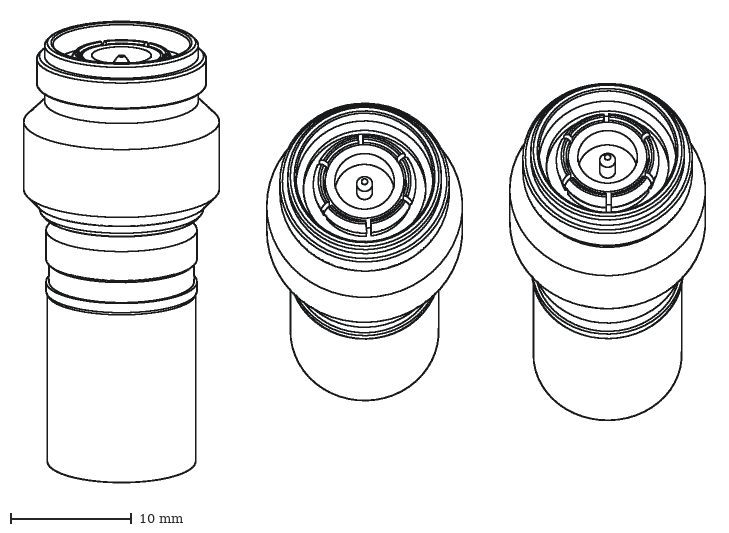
import cadquery as cq

TOTAL_HEIGHT = 36.15
NUT_RADIUS = 8.1

SLEEVE_RADIUS = 6.15
BODY_RADIUS = 6.25
GROOVE_RADIUS = 6.0
BAND_CHAMFER_START = 14.5
BAND_BOTTOM = 14.7
BAND_TOP = 15.5
GROOVE_RELIEF_BOTTOM = 17.25
GROOVE_TOP = 17.45
GROOVE_RELIEF_RADIUS = 6.07
BODY_TOP = 20.0
NECK_RADIUS = 5.05

NUT_BOTTOM = 21.25
NUT_RIM_TOP = 21.35
NOSE_EDGE = 21.73
SHOULDER_EDGE = 21.85
SHOULDER_TOP = 22.4
NUT_CYLINDER_BOTTOM = 23.5
NUT_CYLINDER_TOP = 29.35
NUT_BOTTOM_RADIUS = 6.2
NUT_RIM_RADIUS = 6.45
NOSE_EDGE_RADIUS = 6.75
SHOULDER_EDGE_RADIUS = 6.8
SHOULDER_TOP_RADIUS = 6.9
NUT_CONE_RADIUS = 7.1
COLLAR_RADIUS = 6.35
COLLAR_BOTTOM = 31.1
RING_RADIUS = 7.0
RING_BOTTOM = 32.5
RING_TOP = 35.0
RING_BOTTOM_CHAMFER = 0.1
RING_TOP_CHAMFER = 0.2
LIP_CHAMFER = 0.2

BORE_RADIUS = 5.68
BORE_CHAMFER = 0.15
BORE_CONE_TOP = 34.2
BORE_CONE_BOTTOM = 33.62
CAVITY_RADIUS = 5.05
CAVITY_FLOOR = 32.7

CONTACT_TOP = 35.25
CONTACT_INNER_RADIUS = 3.45
CONTACT_CHAMFER_WIDTH = 0.2
CONTACT_CHAMFER_HEIGHT = 0.18
CONTACT_TOP_RADIUS = 3.83
CONTACT_BULGE_RADIUS = 4.23
CONTACT_BULGE_Z = 34.52
CONTACT_ROOT_RADIUS = 3.98
CONTACT_ROOT_Z = 33.62
SLOT_WIDTH = 0.4
SLOT_LINES = 3

INSULATOR_RADIUS = 3.25
INSULATOR_BORE_RADIUS = 2.45
INSULATOR_TOP = 35.05
INSULATOR_FLOOR = 32.55
PIN_RADIUS = 0.65
PIN_TIP_RADIUS = 0.25
PIN_SHOULDER = 34.45
PIN_TOP = 35.0
PIN_CROWN = 0.02

OVERLAP = 0.35


def revolve_profile(profile):
    """Close an (r, z) outline drawn on XZ and revolve it about the Z axis."""
    return profile.close().revolve(360, (0, 0, 0), (0, 1, 0))


def tube(outer_radius, inner_radius, bottom, top):
    """Ring-shaped solid standing on the Z axis."""
    ring = cq.Workplane("XY").workplane(offset=bottom).circle(outer_radius).circle(inner_radius)
    return ring.extrude(top - bottom)


def make_shell():
    """Solid outer form: sleeve, grooved rear body and coupling nut."""
    return revolve_profile(
        cq.Workplane("XZ").polyline([
            (0, 0),
            (SLEEVE_RADIUS, 0),
            (SLEEVE_RADIUS, BAND_CHAMFER_START),
            (BODY_RADIUS, BAND_BOTTOM),
            (BODY_RADIUS, BAND_TOP),
            (GROOVE_RADIUS, BAND_TOP),
            (GROOVE_RADIUS, GROOVE_RELIEF_BOTTOM),
            (GROOVE_RELIEF_RADIUS, GROOVE_TOP),
            (BODY_RADIUS, GROOVE_TOP),
            (BODY_RADIUS, BODY_TOP),
            (NECK_RADIUS, NUT_BOTTOM),
            (NUT_BOTTOM_RADIUS, NUT_BOTTOM),
            (NUT_RIM_RADIUS, NUT_RIM_TOP),
            (NOSE_EDGE_RADIUS, NOSE_EDGE),
            (SHOULDER_EDGE_RADIUS, SHOULDER_EDGE),
            (SHOULDER_TOP_RADIUS, SHOULDER_TOP),
            (NUT_CONE_RADIUS, SHOULDER_TOP),
            (NUT_RADIUS, NUT_CYLINDER_BOTTOM),
            (NUT_RADIUS, NUT_CYLINDER_TOP),
            (COLLAR_RADIUS, COLLAR_BOTTOM),
            (COLLAR_RADIUS, RING_BOTTOM),
            (RING_RADIUS - RING_BOTTOM_CHAMFER, RING_BOTTOM),
            (RING_RADIUS, RING_BOTTOM + RING_BOTTOM_CHAMFER),
            (RING_RADIUS, RING_TOP - RING_TOP_CHAMFER),
            (RING_RADIUS - RING_TOP_CHAMFER, RING_TOP),
            (COLLAR_RADIUS, RING_TOP),
            (COLLAR_RADIUS, TOTAL_HEIGHT - LIP_CHAMFER),
            (COLLAR_RADIUS - LIP_CHAMFER, TOTAL_HEIGHT),
            (0, TOTAL_HEIGHT),
        ])
    )


def make_cavity():
    """Stepped bore opening at the top face."""
    return revolve_profile(
        cq.Workplane("XZ").polyline([
            (0, CAVITY_FLOOR),
            (CAVITY_RADIUS, CAVITY_FLOOR),
            (CAVITY_RADIUS, BORE_CONE_BOTTOM),
            (BORE_RADIUS, BORE_CONE_TOP),
            (BORE_RADIUS, TOTAL_HEIGHT - BORE_CHAMFER),
            (BORE_RADIUS + BORE_CHAMFER, TOTAL_HEIGHT),
            (0, TOTAL_HEIGHT),
        ])
    )


def make_contact():
    """Bulged contact ring, split into fingers by slots across its diameter."""
    contact = revolve_profile(
        cq.Workplane("XZ")
        .moveTo(CONTACT_INNER_RADIUS, CAVITY_FLOOR - OVERLAP)
        .lineTo(CONTACT_ROOT_RADIUS, CAVITY_FLOOR - OVERLAP)
        .lineTo(CONTACT_ROOT_RADIUS, CONTACT_ROOT_Z)
        .threePointArc((CONTACT_BULGE_RADIUS, CONTACT_BULGE_Z), (CONTACT_TOP_RADIUS, CONTACT_TOP))
        .lineTo(CONTACT_INNER_RADIUS + CONTACT_CHAMFER_WIDTH, CONTACT_TOP)
        .lineTo(CONTACT_INNER_RADIUS, CONTACT_TOP - CONTACT_CHAMFER_HEIGHT)
    )
    slot = (
        cq.Workplane("XY")
        .workplane(offset=CAVITY_FLOOR)
        .rect(2 * CAVITY_RADIUS, SLOT_WIDTH)
        .extrude(CONTACT_TOP - CAVITY_FLOOR)
    )
    for index in range(SLOT_LINES):
        contact = contact.cut(slot.rotate((0, 0, 0), (0, 0, 1), index * 180 / SLOT_LINES))
    return contact


def make_pin():
    """Centre pin with a crowned, blunt tip."""
    crown_point = (
        (PIN_RADIUS + PIN_TIP_RADIUS) / 2 + PIN_CROWN,
        (PIN_SHOULDER + PIN_TOP) / 2 + PIN_CROWN,
    )
    return revolve_profile(
        cq.Workplane("XZ")
        .moveTo(0, INSULATOR_FLOOR - OVERLAP)
        .lineTo(PIN_RADIUS, INSULATOR_FLOOR - OVERLAP)
        .lineTo(PIN_RADIUS, PIN_SHOULDER)
        .threePointArc(crown_point, (PIN_TIP_RADIUS, PIN_TOP))
        .lineTo(0, PIN_TOP)
    )


insulator_bore = (
    cq.Workplane("XY")
    .workplane(offset=INSULATOR_FLOOR)
    .circle(INSULATOR_BORE_RADIUS)
    .extrude(TOTAL_HEIGHT - INSULATOR_FLOOR)
)
insulator = tube(INSULATOR_RADIUS, INSULATOR_BORE_RADIUS, CAVITY_FLOOR - OVERLAP, INSULATOR_TOP)

result = (
    make_shell()
    .cut(make_cavity())
    .cut(insulator_bore)
    .union(insulator)
    .union(make_contact())
    .union(make_pin())
)